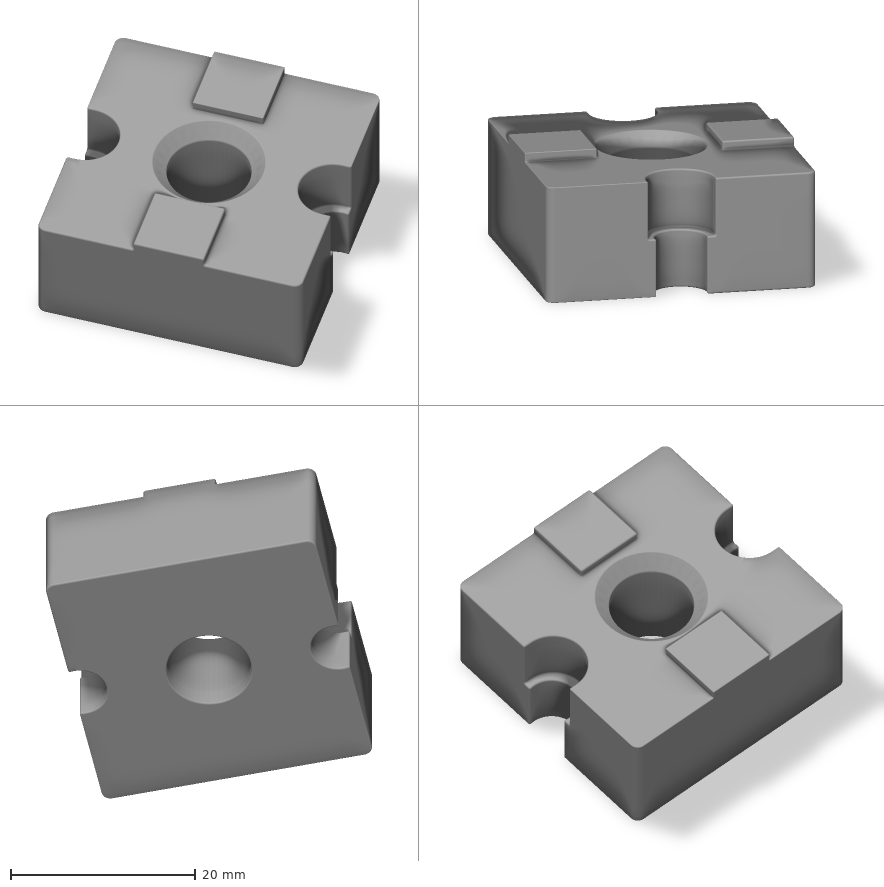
import cadquery as cq

side = 30.0
body_height = 13.0
corner_radius = 1.0
edge_radius = 0.2
back_edge_radius = 0.1

pad_size = 8.0
pad_height = 1.02

bore_diameter = 9.2
sink_diameter = 12.3
sink_angle = 90.0

screw_diameter = 5.75
screw_center_inset = 0.72
counterbore_width = 7.5
counterbore_depth = 6.5
counterbore_center_inset = 0.95

half = side / 2


def make_block():
    block = cq.Workplane("XY").box(side, side, body_height, centered=(True, True, False))
    return block.edges("|Z").fillet(corner_radius)


def screw_hole(direction):
    """Through hole centered just inside one X side, so that it breaks out of it."""
    center_x = direction * (half - screw_center_inset)
    return cq.Workplane("XY").center(center_x, 0).circle(screw_diameter / 2).extrude(body_height)


def counterbore(direction):
    """Round-ended pocket in the top face, open to one X side."""
    start = cq.Workplane("XY").workplane(offset=body_height - counterbore_depth)
    start = start.center(direction * (half - counterbore_center_inset), 0)
    round_end = start.circle(counterbore_width / 2).extrude(counterbore_depth)
    mouth_length = counterbore_width
    mouth = (
        start.center(direction * mouth_length / 2, 0)
        .rect(mouth_length, counterbore_width)
        .extrude(counterbore_depth)
    )
    return round_end.union(mouth)


def make_pad(direction):
    """Square pad flush with one Y side."""
    return (
        cq.Workplane("XY")
        .workplane(offset=body_height)
        .center(0, direction * (half - pad_size / 2))
        .rect(pad_size, pad_size)
        .extrude(pad_height)
    )


def edges_between(y_min, y_max):
    """Selector for every edge whose center lies between two Y positions."""
    return cq.selectors.BoxSelector((-side, y_min, -side), (side, y_max, side))


body = make_block()

for direction in (-1, 1):
    body = body.cut(screw_hole(direction)).cut(counterbore(direction))

body = body.faces(">Z").workplane().cskHole(bore_diameter, sink_diameter, sink_angle)

for direction in (-1, 1):
    body = body.union(make_pad(direction))

seat_limit = counterbore_width / 2 + edge_radius
body = body.edges(edges_between(-side, seat_limit)).fillet(edge_radius)
body = body.edges(edges_between(seat_limit, side)).fillet(back_edge_radius)

result = body